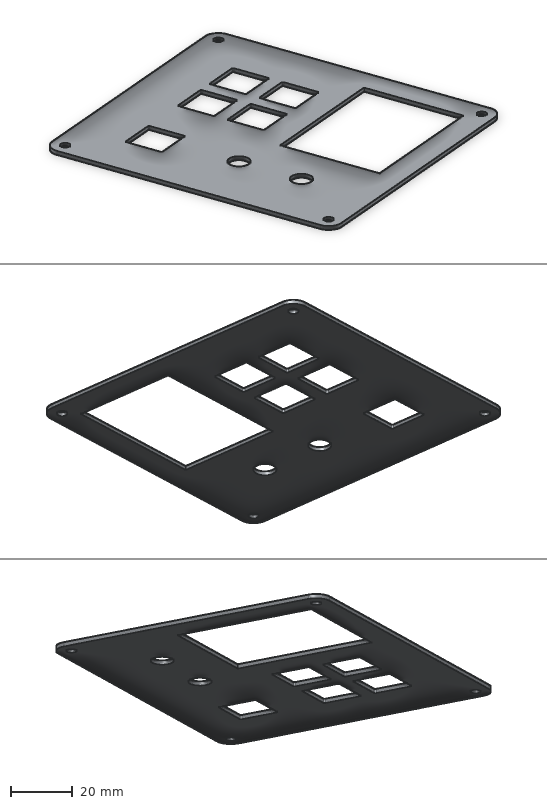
import cadquery as cq

plate_length = 110.97
plate_width = 101.86
plate_thickness = 1.5
corner_radius = 5.0

mount_hole_diameter = 3.4
mount_hole_spacing_x = plate_length - 2 * corner_radius
mount_hole_spacing_y = plate_width - 2 * corner_radius

key_size = 14.0
key_corner_radius = 0.5
key_pitch = 19.05
key_left_x = -28.45
key_top_y = 24.0
single_key_y = -26.4
key_right_x = key_left_x + key_pitch
key_lower_y = key_top_y - key_pitch
key_centers = [(x, y) for x in (key_left_x, key_right_x) for y in (key_top_y, key_lower_y)]
key_centers.append((key_left_x, single_key_y))

window_length = 38.1
window_width = 50.25
window_x = 27.15
window_y = 16.5

control_hole_diameter = 7.5
control_hole_y = -25.7
left_control_hole_x = 3.2
control_hole_centers = [(left_control_hole_x, control_hole_y), (window_x, control_hole_y)]


def make_plate():
    """Flat plate with rounded corners, resting on Z = 0."""
    blank = cq.Workplane("XY").rect(plate_length, plate_width).extrude(plate_thickness)
    return blank.edges("|Z").fillet(corner_radius)


def mount_hole_cutter():
    """Four cylinders, one at each corner."""
    corners = cq.Workplane("XY").rect(mount_hole_spacing_x, mount_hole_spacing_y, forConstruction=True)
    return corners.vertices().circle(mount_hole_diameter / 2).extrude(plate_thickness)


def key_cutter():
    """Square prisms with slightly rounded corners at every key position."""
    squares = cq.Workplane("XY").pushPoints(key_centers).rect(key_size, key_size)
    return squares.extrude(plate_thickness).edges("|Z").fillet(key_corner_radius)


def window_cutter():
    """Sharp-cornered rectangular prism for the display."""
    outline = cq.Workplane("XY").center(window_x, window_y).rect(window_length, window_width)
    return outline.extrude(plate_thickness)


def control_hole_cutter():
    """Cylinders for the two round controls."""
    circles = cq.Workplane("XY").pushPoints(control_hole_centers).circle(control_hole_diameter / 2)
    return circles.extrude(plate_thickness)


result = (
    make_plate()
    .cut(mount_hole_cutter())
    .cut(key_cutter())
    .cut(window_cutter())
    .cut(control_hole_cutter())
)